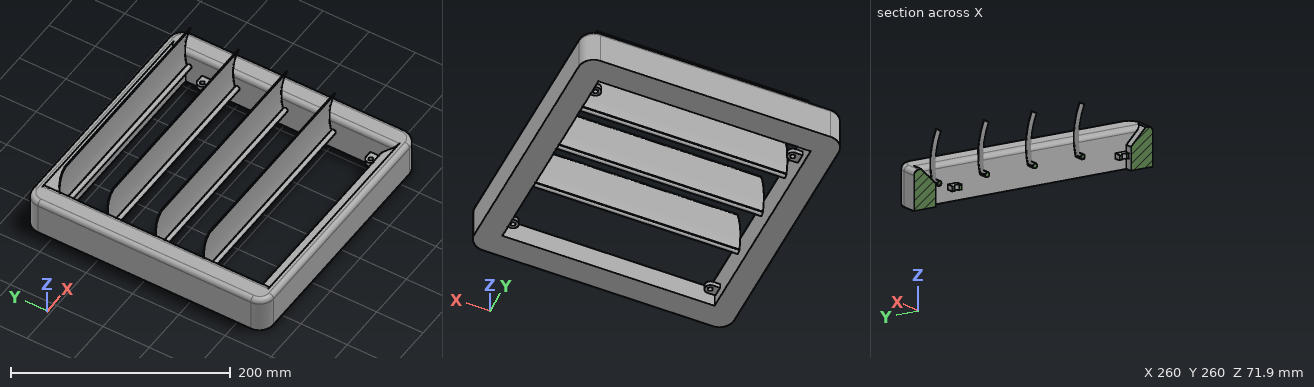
import cadquery as cq
import math

FRAME_SIZE = 260.0
FRAME_HEIGHT = 39.0
CORNER_RADIUS = 15.0
EDGE_RADIUS = 5.0
OPENING_HALF = 106.0
END_WALL_TOP_Y = 122.0

OVERALL_HEIGHT = 71.9
BLADE_COUNT = 4
BLADE_PITCH = 52.0
REAR_BLADE_Y = 107.4
BLADE_BOTTOM = 21.0
BLADE_UPRIGHT_Z = 40.0
BLADE_RADIUS = 85.0
BLADE_THICKNESS = 1.0
ROD_RADIUS = 2.5
ROD_OVERLAP = 0.2
WALL_ENTRY = 1.0

LUG_X = 98.5
LUG_Y_POSITIONS = (83.0, -99.0)
LUG_RADIUS = 5.25
LUG_THICKNESS = 5.0
LUG_BOTTOM = 12.0
LUG_HOLE_DIAMETER = 4.5


def make_frame():
    """Solid square frame, rounded outside, with sloped upper walls at its Y ends."""
    body = (
        cq.Workplane("XY")
        .rect(FRAME_SIZE, FRAME_SIZE)
        .extrude(FRAME_HEIGHT)
        .edges("|Z")
        .fillet(CORNER_RADIUS)
        .faces(">Z")
        .edges()
        .fillet(EDGE_RADIUS)
    )
    return body.cut(make_opening())


def make_opening():
    """Space inside the frame: rounded outward at the top of the X walls, flared at the Y walls."""
    flare_half = OPENING_HALF + EDGE_RADIUS
    shoulder = FRAME_HEIGHT - EDGE_RADIUS
    slope_start = FRAME_HEIGHT - (END_WALL_TOP_Y - OPENING_HALF)
    across_x = (
        cq.Workplane("XZ")
        .moveTo(-OPENING_HALF, 0)
        .lineTo(OPENING_HALF, 0)
        .lineTo(OPENING_HALF, shoulder)
        .radiusArc((flare_half, FRAME_HEIGHT), EDGE_RADIUS)
        .lineTo(-flare_half, FRAME_HEIGHT)
        .radiusArc((-OPENING_HALF, shoulder), EDGE_RADIUS)
        .close()
        .extrude(FRAME_SIZE / 2, both=True)
    )
    across_y = (
        cq.Workplane("YZ")
        .polyline([
            (-OPENING_HALF, 0),
            (OPENING_HALF, 0),
            (OPENING_HALF, slope_start),
            (END_WALL_TOP_Y, FRAME_HEIGHT),
            (-END_WALL_TOP_Y, FRAME_HEIGHT),
            (-OPENING_HALF, slope_start),
        ])
        .close()
        .extrude(FRAME_SIZE / 2, both=True)
    )
    return across_x.intersect(across_y)


def make_blade(back_y):
    """Thin arc-shaped blade, hollow toward -Y, with a rod along its foot."""
    inner_radius = BLADE_RADIUS - BLADE_THICKNESS
    centre_y = back_y - BLADE_RADIUS
    tip_angle = math.asin((OVERALL_HEIGHT - BLADE_UPRIGHT_Z) / BLADE_RADIUS)
    foot_angle = math.asin((BLADE_BOTTOM - BLADE_UPRIGHT_Z) / BLADE_RADIUS)

    def point(radius, angle):
        return (centre_y + radius * math.cos(angle), BLADE_UPRIGHT_Z + radius * math.sin(angle))

    blade = (
        cq.Workplane("YZ")
        .moveTo(*point(BLADE_RADIUS, foot_angle))
        .threePointArc(point(BLADE_RADIUS, 0), point(BLADE_RADIUS, tip_angle))
        .lineTo(*point(inner_radius, tip_angle))
        .threePointArc(point(inner_radius, 0), point(inner_radius, foot_angle))
        .close()
        .extrude(OPENING_HALF, both=True)
    )
    rod_y, rod_z = point(inner_radius + ROD_OVERLAP - ROD_RADIUS, foot_angle)
    rod = (
        cq.Workplane("YZ", origin=(-OPENING_HALF - WALL_ENTRY, rod_y, rod_z))
        .circle(ROD_RADIUS)
        .extrude(2 * (OPENING_HALF + WALL_ENTRY))
    )
    return blade.union(rod)


def make_lug(side, y):
    """Round-ended lug with a hole, reaching in from the X wall on the given side (+1 or -1)."""
    reach = OPENING_HALF + WALL_ENTRY - LUG_X
    base = cq.Workplane("XY", origin=(side * LUG_X, y, LUG_BOTTOM))
    arm = base.center(side * reach / 2, 0).rect(reach, 2 * LUG_RADIUS).extrude(LUG_THICKNESS)
    tip = base.circle(LUG_RADIUS).extrude(LUG_THICKNESS)
    hole = base.circle(LUG_HOLE_DIAMETER / 2).extrude(LUG_THICKNESS)
    return arm.union(tip).cut(hole)


result = make_frame()
for index in range(BLADE_COUNT):
    result = result.union(make_blade(REAR_BLADE_Y - index * BLADE_PITCH))
for lug_side in (-1, 1):
    for lug_y in LUG_Y_POSITIONS:
        result = result.union(make_lug(lug_side, lug_y))